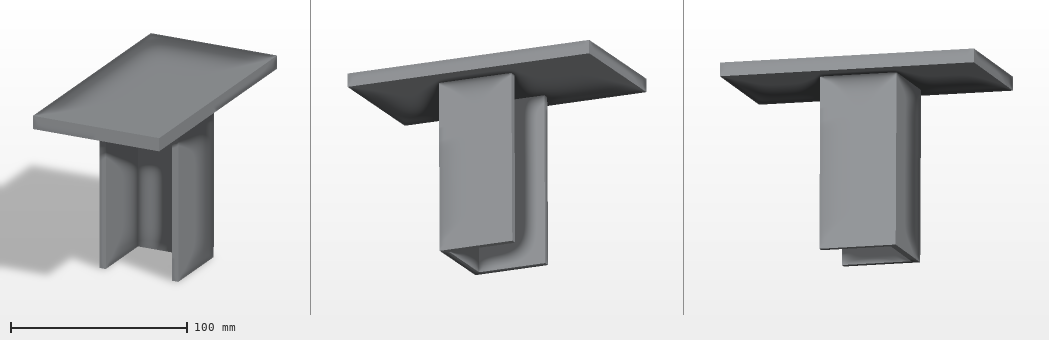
import cadquery as cq

plate_width = 80.0
plate_length = 150.0
plate_thickness = 8.0

channel_width = 50.0
channel_depth = 45.1
channel_length = 100.0
wall_thickness = 4.0
web_back_y = channel_width / 2

tilt_about_x = 0.3
turn_about_z = 0.5


def make_plate():
    """Flat plate resting on top of the channel, whose top end is at Z = 0."""
    return cq.Workplane("XY").box(
        plate_width, plate_length, plate_thickness, centered=(True, True, False)
    )


def make_channel():
    """U-shaped channel, open towards -Y and at the bottom."""
    outer = cq.Workplane("XY").box(
        channel_width, channel_depth, channel_length, centered=(True, False, False)
    )
    inner = cq.Workplane("XY").box(
        channel_width - 2 * wall_thickness,
        channel_depth - wall_thickness,
        channel_length,
        centered=(True, False, False),
    )
    return outer.cut(inner).translate((0, web_back_y - channel_depth, -channel_length))


def set_askew(body):
    """Tilt the +Y end downwards, then turn anticlockwise about Z."""
    tilted = body.rotate((0, 0, 0), (1, 0, 0), -tilt_about_x)
    return tilted.rotate((0, 0, 0), (0, 0, 1), turn_about_z)


plate = set_askew(make_plate())
channel = set_askew(make_channel())

result = cq.Compound.makeCompound([plate.val(), channel.val()])